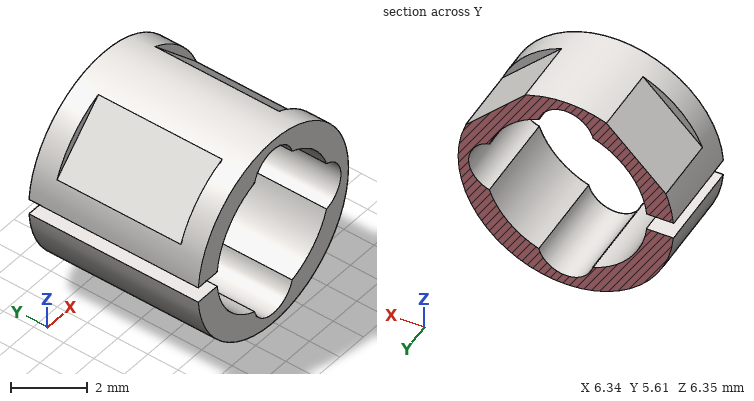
import cadquery as cq
import math

outer_radius = 3.175
bore_radius = 2.38
length = 5.61

lobe_radius = 0.82
lobe_reach = 2.85
lobe_offset = lobe_reach - lobe_radius
lobe_angles = (0, 90, -90)

slit_width = 0.5

flat_length = 4.1
flat_distance = 2.925
flat_angles = (45, 135)


def cylinder_along_y(radius, x=0.0, z=0.0):
    """Full-length cylinder centred on Y = 0."""
    return cq.Workplane("XZ", origin=(x, length / 2, z)).circle(radius).extrude(length)


def bore_lobe(angle):
    """Round groove cutter along the bore at the given angle."""
    direction = math.radians(angle)
    return cylinder_along_y(
        lobe_radius,
        lobe_offset * math.cos(direction),
        lobe_offset * math.sin(direction),
    )


def wall_slit():
    """Cutter from the axis out through the wall at -X."""
    slit = cq.Workplane("XY").box(outer_radius, length, slit_width)
    return slit.translate((-outer_radius / 2, 0, 0))


def outside_flat(angle):
    """Block whose inner face forms a flat at the given angle."""
    block = cq.Workplane("XY").box(outer_radius, flat_length, 2 * outer_radius)
    block = block.translate((flat_distance + outer_radius / 2, 0, 0))
    return block.rotate((0, 0, 0), (0, 1, 0), -angle)


sleeve = cylinder_along_y(outer_radius).cut(cylinder_along_y(bore_radius))

for lobe_angle in lobe_angles:
    sleeve = sleeve.cut(bore_lobe(lobe_angle))

sleeve = sleeve.cut(wall_slit())

for flat_angle in flat_angles:
    sleeve = sleeve.cut(outside_flat(flat_angle))

result = sleeve